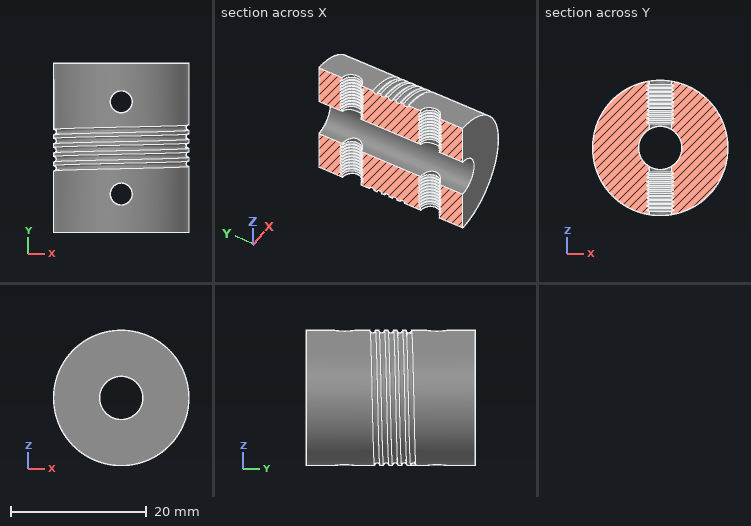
import cadquery as cq
import math

body_diameter = 20.0
body_length = 25.0
bore_diameter = 6.35

flexure_pitch = 4.0 / 3.0
flexure_turns = 5
flexure_groove_radius = 0.4

screw_hole_diameter = 3.2
screw_hole_spacing = 13.6

thread_pitch = 0.6
thread_crest = thread_pitch / 4
thread_half_angle = math.radians(30)
thread_lead_in = 0.62

body_radius = body_diameter / 2
bore_radius = bore_diameter / 2
screw_hole_radius = screw_hole_diameter / 2
ring_half_width = (thread_pitch - thread_crest) / 2
ring_depth = ring_half_width / math.tan(thread_half_angle)
first_ring_height = body_radius - thread_lead_in - ring_half_width
rings_per_wall = math.floor((first_ring_height - bore_radius) / thread_pitch) + 1


def sleeve():
    """Plain cylinder with its shaft bore, its seam lines turned to the +Z side."""
    return (
        cq.Workplane("XZ", origin=(0, body_length / 2, 0))
        .circle(body_radius)
        .circle(bore_radius)
        .extrude(body_length)
        .rotate((0, 0, 0), (0, 1, 0), -90)
    )


def flexure_groove():
    """Right-handed coil of round section, starting and ending on the -Z side."""
    coil_length = flexure_pitch * flexure_turns
    path = cq.Wire.makeHelix(flexure_pitch, coil_length, body_radius)
    coil = (
        cq.Workplane("XZ", origin=(body_radius, 0, 0))
        .circle(flexure_groove_radius)
        .sweep(cq.Workplane(path), isFrenet=True)
    )
    return (
        coil.rotate((0, 0, 0), (0, 0, 1), 90)
        .rotate((0, 0, 0), (1, 0, 0), -90)
        .translate((0, -coil_length / 2, 0))
    )


def thread_ring():
    """Disc with a V-shaped rim that cuts one thread groove into the hole wall."""
    return (
        cq.Workplane("XZ")
        .moveTo(0, -ring_half_width)
        .lineTo(screw_hole_radius, -ring_half_width)
        .lineTo(screw_hole_radius + ring_depth, 0)
        .lineTo(screw_hole_radius, ring_half_width)
        .lineTo(0, ring_half_width)
        .close()
        .revolve()
    )


def screw_hole():
    """Cutter for a through hole along Z, threaded in the wall on both sides of the bore."""
    cutter = cq.Workplane("XY").circle(screw_hole_radius).extrude(body_radius, both=True)
    ring = thread_ring()
    for index in range(rings_per_wall):
        height = first_ring_height - index * thread_pitch
        for side in (-1, 1):
            cutter = cutter.union(ring.translate((0, 0, side * height)))
    return cutter


result = sleeve().cut(flexure_groove())
for side in (-1, 1):
    result = result.cut(screw_hole().translate((0, side * screw_hole_spacing / 2, 0)))